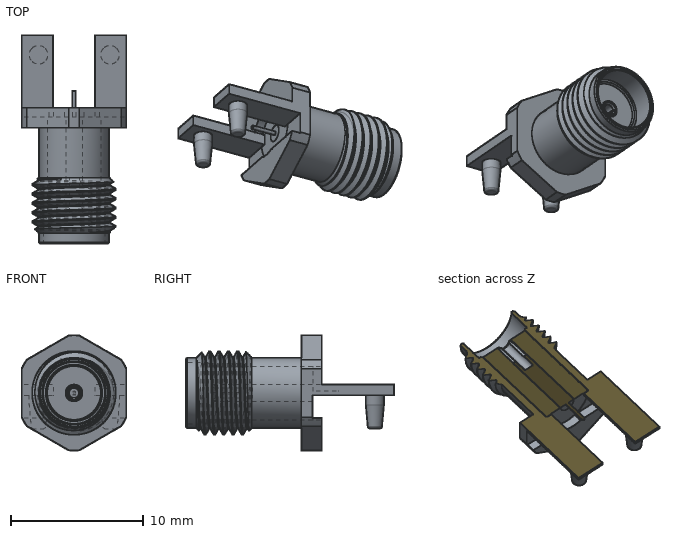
import cadquery as cq
import math


FLANGE_SIDES = 6
FLANGE_WIDTH = 7.92
FLANGE_CORNER_DIAMETER = 8.73
FLANGE_THICKNESS = 1.55
RECESS_DEPTH = 0.7
RECESS_FLOOR_Z = -1.89
LEG_LENGTH = 5.47
LEG_WIDTH = 2.38
LEG_TOP_Z = 0.65
LEG_BOTTOM_Z = -0.19

PEG_DIAMETER = 1.4
PEG_TIP_DIAMETER = 1.07
PEG_LENGTH = 2.5
PEG_STRAIGHT_LENGTH = 0.7
PEG_TIP_FILLET = 0.19
PEG_FROM_LEG_END = 1.46
PEG_FROM_LEG_SIDE = 1.26

BARREL_DIAMETER = 5.32
BARREL_LENGTH = 8.74
MOUTH_DIAMETER = 4.66
MOUTH_DEPTH = 1.92
MOUTH_CHAMFER = 0.08
NOSE_CHAMFER = 0.11
NOSE_LENGTH = 0.8

THREAD_DIAMETER = 6.33
THREAD_ROOT_DIAMETER = 5.42
THREAD_LENGTH = 4.19
THREAD_PITCH = 0.705
THREAD_TURNS = 6
THREAD_CREST_WIDTH = THREAD_PITCH / 8
THREAD_FLANK_ANGLE = 30
THREAD_START_ANGLE = -111
THREAD_END_Y = -3.8

DIELECTRIC_DIAMETER = 4.05
DIELECTRIC_SEAT_DIAMETER = 4.28

CONTACT_DIAMETER = 1.28
CONTACT_RIM_DIAMETER = 1.07
CONTACT_RIM_WIDTH = 0.024
CONTACT_TAPER_LENGTH = 0.47
SOCKET_DIAMETER = 0.75
SOCKET_DEPTH = 3.0
SLIT_WIDTH = 0.1
SLIT_DEPTH = 1.89
TAIL_DIAMETER = 0.3
TAIL_LENGTH = 1.28
TAIL_CHAMFER = 0.05

leg_end_y = FLANGE_THICKNESS + LEG_LENGTH
recess_floor_y = FLANGE_THICKNESS - RECESS_DEPTH
barrel_front_y = -BARREL_LENGTH
mouth_floor_y = barrel_front_y + MOUTH_DEPTH
seat_depth = (DIELECTRIC_SEAT_DIAMETER - DIELECTRIC_DIAMETER) / 2
dielectric_front_y = mouth_floor_y + seat_depth
tail_end_y = FLANGE_THICKNESS + TAIL_LENGTH


def revolve_about_y(points):
    """Turn a (radius, y) outline around the Y axis."""
    return cq.Workplane("XY").polyline(points).close().revolve(360, (0, 0, 0), (0, 1, 0))


def cylinder_along_y(diameter, start_y, end_y):
    radius = diameter / 2
    return revolve_about_y([(0, start_y), (radius, start_y), (radius, end_y), (0, end_y)])


def box_between(x_range, y_range, z_range):
    sizes = [high - low for low, high in (x_range, y_range, z_range)]
    corner = (x_range[0], y_range[0], z_range[0])
    return cq.Workplane("XY").box(*sizes, centered=False).translate(corner)


def make_flange():
    half_side_angle = 180 / FLANGE_SIDES
    corner_to_corner = FLANGE_WIDTH / math.cos(math.radians(half_side_angle))
    hexagon = (
        cq.Workplane("XZ")
        .polygon(FLANGE_SIDES, corner_to_corner)
        .extrude(-FLANGE_THICKNESS)
        .rotate((0, 0, 0), (0, 1, 0), half_side_angle)
    )
    flange = hexagon.intersect(cylinder_along_y(FLANGE_CORNER_DIAMETER, 0, FLANGE_THICKNESS))
    recess = box_between(
        (-FLANGE_WIDTH, FLANGE_WIDTH),
        (recess_floor_y, FLANGE_THICKNESS),
        (RECESS_FLOOR_Z, LEG_BOTTOM_Z),
    )
    return flange.cut(recess)


def make_leg(side):
    """Leg with its peg; side is -1 or 1 for the -X or +X leg."""
    centre_x = side * (FLANGE_WIDTH - LEG_WIDTH) / 2
    peg_x = side * (FLANGE_WIDTH / 2 - PEG_FROM_LEG_SIDE)
    leg = box_between(
        (centre_x - LEG_WIDTH / 2, centre_x + LEG_WIDTH / 2),
        (recess_floor_y, leg_end_y),
        (LEG_BOTTOM_Z, LEG_TOP_Z),
    )
    peg = (
        cq.Workplane("XZ")
        .polyline([
            (0, 0),
            (PEG_DIAMETER / 2, 0),
            (PEG_DIAMETER / 2, -PEG_STRAIGHT_LENGTH),
            (PEG_TIP_DIAMETER / 2, -PEG_LENGTH),
            (0, -PEG_LENGTH),
        ])
        .close()
        .revolve(360, (0, 0, 0), (0, 1, 0))
        .faces("<Z")
        .edges()
        .fillet(PEG_TIP_FILLET)
        .translate((peg_x, leg_end_y - PEG_FROM_LEG_END, LEG_BOTTOM_Z))
    )
    return leg.union(peg)


def make_thread_groove():
    """Helical groove, swept about Z and then turned onto the Y axis."""
    root_radius = THREAD_ROOT_DIAMETER / 2
    outer_radius = THREAD_DIAMETER / 2
    slope = math.tan(math.radians(THREAD_FLANK_ANGLE))
    crest_half_opening = (THREAD_PITCH - THREAD_CREST_WIDTH) / 2
    root_half_width = crest_half_opening - (outer_radius - root_radius) * slope
    overrun = THREAD_CREST_WIDTH / 4
    top_half_width = crest_half_opening + overrun * slope
    top_radius = outer_radius + overrun

    height = THREAD_TURNS * THREAD_PITCH
    helix = cq.Wire.makeHelix(THREAD_PITCH, height, root_radius)
    return (
        cq.Workplane("XZ")
        .polyline([
            (root_radius, -root_half_width),
            (top_radius, -top_half_width),
            (top_radius, top_half_width),
            (root_radius, root_half_width),
        ])
        .close()
        .sweep(cq.Workplane(obj=helix), isFrenet=True)
        .rotate((0, 0, 0), (0, 0, 1), THREAD_START_ANGLE)
        .rotate((0, 0, 0), (1, 0, 0), -90)
        .translate((0, THREAD_END_Y - height, 0))
    )


def make_barrel():
    barrel_radius = BARREL_DIAMETER / 2
    thread_radius = THREAD_DIAMETER / 2
    end_bevel = thread_radius - barrel_radius
    thread_front_y = barrel_front_y + NOSE_LENGTH
    thread_rear_y = thread_front_y + THREAD_LENGTH
    blank = revolve_about_y([
        (0, barrel_front_y),
        (barrel_radius - NOSE_CHAMFER, barrel_front_y),
        (barrel_radius, barrel_front_y + NOSE_CHAMFER),
        (barrel_radius, thread_front_y),
        (thread_radius, thread_front_y + end_bevel),
        (thread_radius, thread_rear_y - end_bevel),
        (barrel_radius, thread_rear_y),
        (barrel_radius, 0),
        (0, 0),
    ])
    return blank.cut(make_thread_groove())


def make_bore():
    """Mouth, shoulder with a bevelled seat, and the bore that holds the dielectric."""
    mouth_radius = MOUTH_DIAMETER / 2
    seat_radius = DIELECTRIC_SEAT_DIAMETER / 2
    bore_radius = DIELECTRIC_DIAMETER / 2
    return revolve_about_y([
        (0, barrel_front_y),
        (mouth_radius + MOUTH_CHAMFER, barrel_front_y),
        (mouth_radius, barrel_front_y + MOUTH_CHAMFER),
        (mouth_radius, mouth_floor_y),
        (seat_radius, mouth_floor_y),
        (bore_radius, dielectric_front_y),
        (bore_radius, FLANGE_THICKNESS),
        (0, FLANGE_THICKNESS),
    ])


def make_housing():
    housing = make_flange().union(make_barrel()).cut(make_bore())
    for side in (-1, 1):
        housing = housing.union(make_leg(side))
    return housing


def make_dielectric():
    body = cylinder_along_y(DIELECTRIC_DIAMETER, dielectric_front_y, recess_floor_y)
    return body.cut(cylinder_along_y(CONTACT_DIAMETER, dielectric_front_y, recess_floor_y))


def make_contact():
    """Slit socket with a tapered front end, and a thin solder tail behind."""
    contact_radius = CONTACT_DIAMETER / 2
    rim_radius = CONTACT_RIM_DIAMETER / 2
    countersink_radius = rim_radius - CONTACT_RIM_WIDTH
    socket_radius = SOCKET_DIAMETER / 2
    tail_radius = TAIL_DIAMETER / 2
    turned = revolve_about_y([
        (0, dielectric_front_y + SOCKET_DEPTH),
        (socket_radius, dielectric_front_y + SOCKET_DEPTH),
        (socket_radius, dielectric_front_y + countersink_radius - socket_radius),
        (countersink_radius, dielectric_front_y),
        (rim_radius, dielectric_front_y),
        (contact_radius, dielectric_front_y + CONTACT_TAPER_LENGTH),
        (contact_radius, recess_floor_y),
        (tail_radius, recess_floor_y),
        (tail_radius, tail_end_y - TAIL_CHAMFER),
        (tail_radius - TAIL_CHAMFER, tail_end_y),
        (0, tail_end_y),
    ])
    slit = box_between(
        (-contact_radius, contact_radius),
        (dielectric_front_y, dielectric_front_y + SLIT_DEPTH),
        (-SLIT_WIDTH / 2, SLIT_WIDTH / 2),
    )
    return turned.cut(slit)


housing = make_housing().solids()
dielectric = make_dielectric().solids()
contact = make_contact().solids()

result = cq.Compound.makeCompound([housing.val(), dielectric.val(), contact.val()])